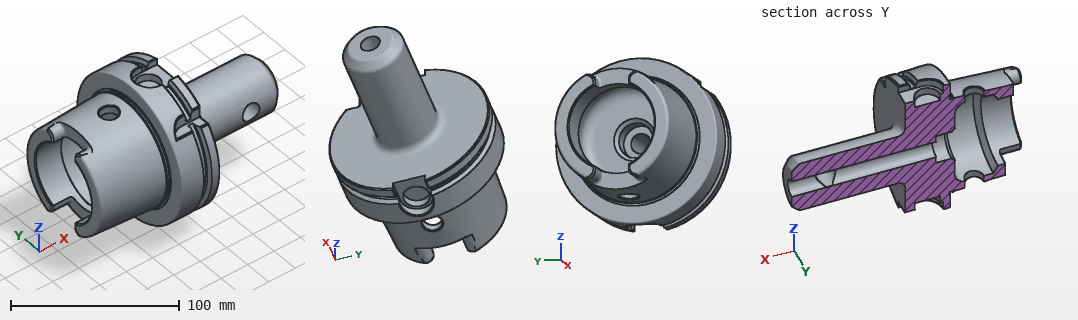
import cadquery as cq
import math

length = 151.6

taper_length = 50.0
taper_big_radius = 37.7
collar_start = 48.0
collar_end = 48.7
collar_radius = 38.2
taper_slope = 1 / 20
taper_end_round = 2.0
neck_radius = 37.6
face_recess_radius = 39.3
face_recess_depth = 0.5

flange_radius = 50.0
flange_back = 79.1
flange_front_round = 0.9
flange_back_chamfer = 0.8

groove_bottom_radius = 45.6
groove_flank_radius = 47.3
groove_front = 66.7
groove_floor_front = 68.0
groove_floor_back = 71.5
groove_back = 72.9

shank_diameter = 38.0
shank_radius = shank_diameter / 2
shank_base_fillet = 4.5
shank_chamfer = 5.0
shank_chamfer_round = 2.3

bore_radius = 26.5
bore_chamfer = 0.8
bore_depth = 19.7
clamp_cone_angle = 60
cavity_radius = 31.5
cavity_floor = 47.0
cavity_floor_radius = 24.5
socket_mouth_radius = 12.9
socket_diameter = 21.0
socket_radius = socket_diameter / 2
socket_depth = 12.1
coolant_diameter = 12.0

slot_half_width = 10.3
slot_straight_height = 26.7
lug_round = 5.0
top_slot_depth = 9.7
bottom_slot_depth = 14.9
slot_floor_fillet = 1.7
slot_mouth_chamfer = 1.0

pocket_end_radius = 10.0
pocket_end_x = 64.6
keyway_floor = 44.0
keyway_hole_diameter = 16.0
keyway_hole_depth = 5.2
notch_floor = 31.1
notch_wall = 31.4
pocket_chamfer = 0.6
notch_back_chamfer = 0.9

taper_hole_diameter = 12.0
taper_hole_chamfer = 0.6
taper_hole_x = 34.7
shank_hole_diameter = 12.7
shank_hole_x = 127.3

clearance = 1.5


def revolve_about_x(outline):
    """Close an outline and turn it once around the X axis."""
    return outline.close().revolve(360, (0, 0, 0), (1, 0, 0))


def half_turn(body):
    """Copy of the body turned to the opposite side of the X axis."""
    return body.rotate((0, 0, 0), (1, 0, 0), 180)


def taper():
    """Hollow taper blank with a narrow collar and a neck that joins the flange."""
    tip_radius = taper_big_radius - taper_slope * collar_start
    body = revolve_about_x(
        cq.Workplane("XY")
        .lineTo(0, tip_radius)
        .lineTo(collar_start, taper_big_radius)
        .lineTo(collar_start, collar_radius)
        .lineTo(collar_end, collar_radius)
        .lineTo(collar_end, neck_radius)
        .lineTo(taper_length + face_recess_depth, neck_radius)
        .lineTo(taper_length + face_recess_depth, 0)
    )
    return body.faces("<X").edges().fillet(taper_end_round)


def keyway_cutter():
    """Slot open to the back of the flange, with a round front end and a flat floor."""
    run_out = flange_back - pocket_end_x + clearance
    end = cq.Workplane("XY", origin=(pocket_end_x, 0, keyway_floor)).circle(pocket_end_radius)
    channel = cq.Workplane("XY", origin=(pocket_end_x + run_out / 2, 0, keyway_floor))
    channel = channel.rect(run_out, 2 * pocket_end_radius).extrude(flange_radius)
    return end.extrude(flange_radius).union(channel)


def notch_cutter():
    """Corner cut with a floor facing +Z, a wall facing -Y and a quarter-round front end."""
    reach = flange_radius
    return (
        cq.Workplane("XY", origin=(0, 0, notch_floor))
        .moveTo(pocket_end_x - pocket_end_radius, -notch_wall - pocket_end_radius)
        .radiusArc((pocket_end_x, -notch_wall), pocket_end_radius)
        .lineTo(flange_back + clearance, -notch_wall)
        .lineTo(flange_back + clearance, -reach)
        .lineTo(pocket_end_x - pocket_end_radius, -reach)
        .close()
        .extrude(reach)
    )


def notch_back_cutter():
    """Wedges that break the floor and wall edges of the notch at the back of the flange."""
    wedge_start = flange_back - notch_back_chamfer
    floor_wedge = (
        cq.Workplane("XZ", origin=(0, -notch_wall, 0))
        .moveTo(wedge_start, notch_floor)
        .lineTo(flange_back, notch_floor - notch_back_chamfer)
        .lineTo(flange_back, notch_floor)
        .close()
        .extrude(flange_radius)
    )
    wall_wedge = (
        cq.Workplane("XY", origin=(0, 0, notch_floor))
        .moveTo(wedge_start, -notch_wall)
        .lineTo(flange_back, notch_back_chamfer - notch_wall)
        .lineTo(flange_back, -notch_wall)
        .close()
        .extrude(flange_radius)
    )
    return floor_wedge.union(wall_wedge)


def chamfer_pocket_edges(disc):
    """Break the pocket edges that lie on the outer cylinder of the flange."""
    tolerance = 0.02

    def on_rim(edge):
        middle = edge.positionAt(0.5)
        on_cylinder = abs(math.hypot(middle.y, middle.z) - flange_radius) < tolerance
        return on_cylinder and edge.geomType() != "CIRCLE"

    rim_edges = [edge for edge in disc.edges().vals() if on_rim(edge)]
    return disc.newObject(rim_edges).chamfer(pocket_chamfer)


def flange():
    """Flange with two opposite keyways, an orientation notch and the gripper groove."""
    width = flange_back - taper_length
    disc = cq.Workplane("YZ", origin=(taper_length, 0, 0)).circle(flange_radius).extrude(width)
    disc = disc.faces("<X").edges().fillet(flange_front_round)
    disc = disc.faces(">X").edges().chamfer(flange_back_chamfer)
    recess = (
        cq.Workplane("YZ", origin=(taper_length, 0, 0))
        .circle(face_recess_radius)
        .extrude(face_recess_depth)
    )
    keyway = keyway_cutter()
    disc = disc.cut(recess).cut(keyway).cut(half_turn(keyway)).cut(notch_cutter())
    disc = chamfer_pocket_edges(disc).cut(notch_back_cutter())
    groove = revolve_about_x(
        cq.Workplane("XY")
        .moveTo(groove_front, flange_radius)
        .lineTo(groove_floor_front, groove_flank_radius)
        .lineTo(groove_floor_front, groove_bottom_radius)
        .lineTo(groove_floor_back, groove_bottom_radius)
        .lineTo(groove_floor_back, groove_flank_radius)
        .lineTo(groove_back, flange_radius)
        .lineTo(groove_back, flange_radius + clearance)
        .lineTo(groove_front, flange_radius + clearance)
    )
    hole = cq.Workplane("XY", origin=(pocket_end_x, 0, keyway_floor - keyway_hole_depth))
    hole = hole.circle(keyway_hole_diameter / 2).extrude(flange_radius)
    return disc.cut(groove).cut(hole).cut(half_turn(hole))


def shank():
    """Plain shank with a filleted root and a chamfered, softened end."""
    rod = cq.Workplane("YZ", origin=(flange_back, 0, 0)).circle(shank_radius).extrude(length - flange_back)
    rod = rod.faces(">X").edges().chamfer(shank_chamfer)
    rod = rod.edges("%CIRCLE and (not <X)").fillet(shank_chamfer_round)
    base = (
        cq.Workplane("XY")
        .moveTo(flange_back, 0)
        .lineTo(flange_back, shank_radius + shank_base_fillet)
        .radiusArc((flange_back + shank_base_fillet, shank_radius), -shank_base_fillet)
        .lineTo(flange_back + shank_base_fillet, 0)
    )
    return rod.union(revolve_about_x(base))


def cavity():
    """Clamping cavity, coolant socket and axial bore as one solid."""
    cone_length = (cavity_radius - bore_radius) / math.tan(math.radians(clamp_cone_angle))
    floor_fillet = cavity_radius - cavity_floor_radius
    mouth_chamfer = socket_mouth_radius - socket_radius
    clamp = revolve_about_x(
        cq.Workplane("XY")
        .lineTo(0, bore_radius + bore_chamfer)
        .lineTo(bore_chamfer, bore_radius)
        .lineTo(bore_depth, bore_radius)
        .lineTo(bore_depth + cone_length, cavity_radius)
        .lineTo(cavity_floor - floor_fillet, cavity_radius)
        .radiusArc((cavity_floor, cavity_floor_radius), floor_fillet)
        .lineTo(cavity_floor, socket_mouth_radius)
        .lineTo(cavity_floor + mouth_chamfer, socket_radius)
        .lineTo(cavity_floor + socket_depth, socket_radius)
        .lineTo(cavity_floor + socket_depth, 0)
    )
    coolant = cq.Workplane("YZ").circle(coolant_diameter / 2).extrude(length)
    return clamp.union(coolant)


def slot_outline(x, margin):
    """Drive slot section at x, widened by margin: straight walls, then arcs that round the lugs over."""
    half = slot_half_width + margin
    arc = lug_round - margin
    center_y = slot_half_width + lug_round
    center_z = slot_straight_height
    center_distance = math.hypot(center_y, center_z)
    arc_end = 1 + arc / center_distance
    end_y = center_y * arc_end
    end_z = center_z * arc_end
    outer = flange_radius / center_distance
    return (
        cq.Workplane("YZ", origin=(x, 0, 0))
        .moveTo(-half, 0)
        .lineTo(-half, slot_straight_height)
        .radiusArc((-end_y, end_z), -arc)
        .lineTo(-center_y * outer, center_z * outer)
        .lineTo(center_y * outer, center_z * outer)
        .lineTo(end_y, end_z)
        .radiusArc((half, slot_straight_height), -arc)
        .lineTo(half, 0)
        .close()
    )


def drive_slot(depth):
    """Cutter for one drive slot, with a filleted floor and a chamfered mouth."""
    cutter = slot_outline(0, 0).extrude(depth)
    side = slot_half_width + lug_round
    walls_and_arcs = cq.selectors.BoxSelector(
        (0, -side, clearance),
        (depth + clearance, side, slot_straight_height + lug_round),
    )
    cutter = cutter.faces(">X").edges(walls_and_arcs).fillet(slot_floor_fillet)
    mouth_sections = [slot_outline(0, slot_mouth_chamfer).val(), slot_outline(slot_mouth_chamfer, 0).val()]
    mouth = cq.Solid.makeLoft(mouth_sections, True)
    return cutter.union(cq.Workplane(mouth))


def drill_taper(body):
    """Hole through both walls of the hollow taper, chamfered on the upper and lower outside."""
    drill = cq.Workplane("XY", origin=(taper_hole_x, 0, -flange_radius))
    body = body.cut(drill.circle(taper_hole_diameter / 2).extrude(2 * flange_radius))
    for side in (1, -1):
        rim = cq.selectors.BoxSelector(
            (taper_hole_x - taper_hole_diameter, -taper_hole_diameter, side * (cavity_radius + clearance)),
            (taper_hole_x + taper_hole_diameter, taper_hole_diameter, side * taper_big_radius),
        )
        body = body.edges(rim).chamfer(taper_hole_chamfer)
    return body


def shank_hole():
    """Radial hole from the -Y side of the shank into the coolant bore."""
    drill = cq.Workplane("XZ", origin=(shank_hole_x, 0, 0))
    return drill.circle(shank_hole_diameter / 2).extrude(flange_radius)


result = taper().union(flange()).union(shank()).cut(cavity())
result = result.cut(drive_slot(top_slot_depth))
result = result.cut(half_turn(drive_slot(bottom_slot_depth)))
result = drill_taper(result)
result = result.cut(shank_hole())